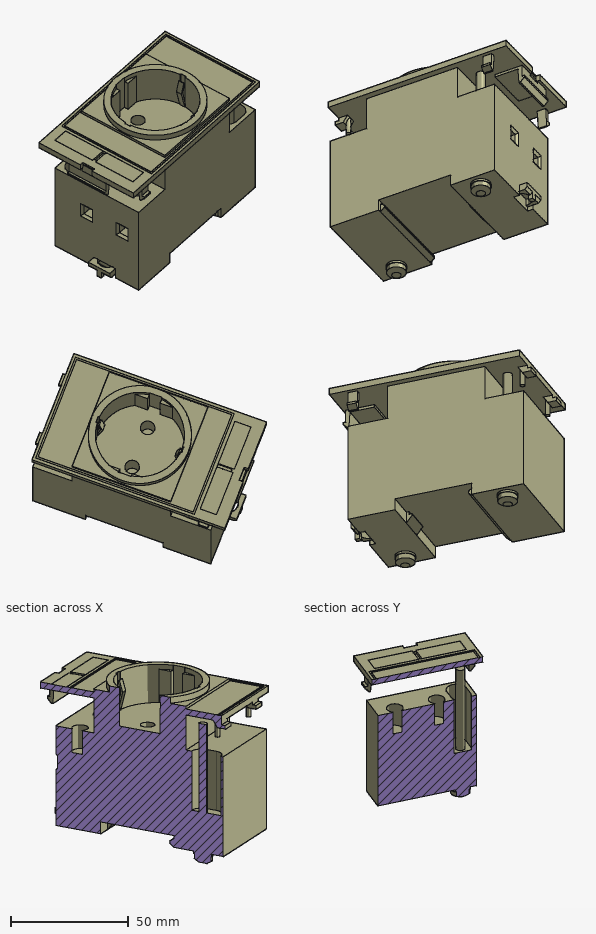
import cadquery as cq


EPS = 0.45

body_width = 44.95
body_front = -40.5
body_rear = 40.1
shoulder_z = 45.2
tower_length = 44.7

plate_width = 50.7
plate_front = -47.9
plate_rear = 39.4
plate_bottom = 60.8
plate_top = 63.7

plinth_top = 65.0
rim_top = 67.7
rim_radius = 21.9
cup_radius = 18.9
cup_floor = 50.5

contact_width = 2.7
contact_back = 19.4

rail_front = -18.9
rail_rear = 16.3
rail_depth = 5.3
latch_left = -1.5
latch_right = 10.0
latch_middle = (latch_left + latch_right) / 2
pocket_back = body_front + 2.7

screw_x = 16.2
screw_y = 30.2
rod_radius = 2.0
rod_top = 58.4
washer_radius = 4.45


def block(x0, x1, y0, y1, z0, z1):
    """Axis-aligned box given by its limits."""
    return cq.Workplane("XY").box(x1 - x0, y1 - y0, z1 - z0, centered=False).translate((x0, y0, z0))


def wide_block(width, y0, y1, z0, z1):
    """Box centred on the X = 0 plane."""
    return block(-width / 2, width / 2, y0, y1, z0, z1)


def cylinder(x, y, radius, z0, z1):
    """Upright cylinder between two heights."""
    return cq.Workplane("XY", origin=(x, y, z0)).circle(radius).extrude(z1 - z0)


def prism(points, x0, x1):
    """Extrude an outline of (y, z) points along X."""
    return cq.Workplane("YZ", origin=(x0, 0, 0)).polyline(points).close().extrude(x1 - x0)


def half_turn(shape):
    """Copy turned 180 degrees about the socket axis."""
    return shape.rotate((0, 0, 0), (0, 0, 1), 180)


def housing():
    half_tower = tower_length / 2
    base = wide_block(body_width, body_front, body_rear, 0, shoulder_z)
    tower = wide_block(body_width, -half_tower, half_tower, shoulder_z - EPS, plinth_top)
    rail_slot = wide_block(body_width, rail_front, rail_rear, 0, rail_depth)
    return base.union(tower).cut(rail_slot)


def rail_tooth():
    """Fixed ridge on the rear wall of the rail slot."""
    width = 42.2
    nose_y = 14.2
    outline = [(rail_rear + EPS, 0), (rail_rear, 0), (nose_y, 1.7), (nose_y, 2.7),
               (rail_rear, 4.2), (rail_rear + EPS, 4.2)]
    return prism(outline, -width / 2, width / 2)


def latch_pocket():
    """Recess in the housing front under the latch."""
    return block(latch_left, latch_right, body_front, pocket_back, 0, rail_depth)


def latch():
    """Rail latch: hook in the rail slot and pull tab at the housing front."""
    tab_front = -44.3
    tab_root = pocket_back + EPS
    tab_bottom = 2.1
    chamfer = 1.2
    tab = prism([(tab_root, rail_depth), (tab_front, rail_depth), (tab_front, tab_bottom + chamfer),
                 (tab_front + chamfer, tab_bottom), (tab_root, tab_bottom)], latch_left, latch_right)

    thumb_radius = 4.45
    thumb_reach = 2.2
    thumb = cylinder(latch_middle, body_front - thumb_reach + thumb_radius, thumb_radius, 0, rail_depth)
    tab = tab.cut(thumb)

    leg_width = 2.3
    leg_thickness = 2.05
    leg = block(latch_middle - leg_width / 2, latch_middle + leg_width / 2,
                tab_front, tab_front + leg_thickness, 0, tab_bottom + chamfer)

    nose_y, nose_z = -16.0, 3.6
    neck_y = -17.6
    ledge_z = 4.0
    hook = prism([(rail_front - EPS, 0), (rail_front, 0), (nose_y, nose_z),
                  (nose_y - 0.2, ledge_z), (neck_y, ledge_z), (neck_y, rail_depth),
                  (rail_front - EPS, rail_depth)],
                 latch_left, latch_right)
    return tab.union(leg).union(hook)


def wire_window(x):
    """Tapered wire entry in the housing front."""
    middle_z = 28.8
    outer_width, outer_height = 6.5, 7.1
    inner_width, inner_height = 4.45, 5.0
    funnel_depth = 1.1
    depth = 7.1
    face = cq.Workplane("XZ", origin=(x, body_front, middle_z))
    funnel = (face.rect(outer_width, outer_height).workplane(offset=-funnel_depth)
              .rect(inner_width, inner_height).loft(ruled=True))
    duct = block(x - inner_width / 2, x + inner_width / 2, body_front + EPS, body_front + depth,
                 middle_z - inner_height / 2, middle_z + inner_height / 2)
    return funnel.union(duct)


def terminal_hole(x):
    """Screwdriver access from the shoulder down towards a wire entry."""
    radius = 3.5
    depth = 10.7
    return cylinder(x, -screw_y, radius, shoulder_z - depth, shoulder_z)


def screw_well():
    """Slot-shaped well around the front fixing screw."""
    stretch = 4.8
    middle_y = -31.95
    depth = 26.7
    length = stretch + 2 * washer_radius
    return (cq.Workplane("XY", origin=(-screw_x, middle_y, shoulder_z - depth))
            .slot2D(length, 2 * washer_radius, 90).extrude(depth))


def screw():
    """Front fixing screw, revolved about its own axis: foot below, rod above."""
    washer_bottom = -1.0
    head_radius = 4.2
    head_bottom = -3.2
    tip_bottom = -4.5
    outline = [(0, tip_bottom), (rod_radius, tip_bottom), (head_radius, head_bottom),
               (head_radius, washer_bottom), (washer_radius, washer_bottom), (washer_radius, EPS),
               (rod_radius, EPS), (rod_radius, rod_top), (0, rod_top)]
    return (cq.Workplane("XZ").polyline(outline).close()
            .revolve(360, (0, 0, 0), (0, 1, 0)).translate((-screw_x, -screw_y, 0)))


def plate():
    return wide_block(plate_width, plate_front, plate_rear, plate_bottom, plate_top)


def frame_groove():
    """Fine rectangular groove around the socket field of the plate."""
    outer_width, outer_front, outer_rear = 48.1, -33.6, 38.2
    line = 0.8
    depth = 0.2
    floor = plate_top - depth
    outer = wide_block(outer_width, outer_front, outer_rear, floor, plate_top)
    inner = wide_block(outer_width - 2 * line, outer_front + line, outer_rear - line, floor, plate_top)
    return outer.cut(inner)


def label_recesses():
    """Two shallow label fields with a deeper pry slot between them."""
    half_span = 20.9
    half_gap = 0.8
    front, rear = -42.45, -35.15
    label_depth = 0.1
    slot_front = -41.5
    slot_depth = 1.3
    slot = block(-half_gap, half_gap, slot_front, rear, plate_top - slot_depth, plate_top)
    right = block(half_gap, half_span, front, rear, plate_top - label_depth, plate_top)
    return slot.union(right).union(right.mirror("YZ"))


def front_notch():
    """Screwdriver notch in the front edge, with a sloped bottom that undercuts the wall."""
    width = 6.1
    wall_y = -46.1
    ramp_front = -46.8
    ramp_bottom = 59.5
    outline = [(plate_front, plate_top), (wall_y, plate_top), (wall_y, 62.8), (wall_y + 0.3, 62.1),
               (ramp_front, ramp_bottom), (plate_front, ramp_bottom)]
    return prism(outline, -width / 2, width / 2)


def clip(inner_top, inner_bottom, outer, hook):
    """Outline of a downward snap clip; offsets grow away from the plate middle."""
    ledge_z = 55.2
    lip_z = 54.2
    tip_z = 52.2
    tip = inner_bottom + 0.7
    return [(inner_top, plate_bottom + EPS), (outer, plate_bottom + EPS), (outer, ledge_z),
            (hook, ledge_z), (hook, lip_z), (tip, tip_z), (inner_bottom, tip_z)]


def front_clip():
    """Wide clip below the front edge with the strip that carries it."""
    width = 19.9
    outer = -46.8
    strip_rear = -33.5
    strip_bottom = 59.5
    tongue = clip(inner_top=44.6, inner_bottom=45.2, outer=-outer, hook=-plate_front)
    tongue = prism([(-offset, z) for offset, z in tongue], -width / 2, width / 2)
    return tongue.union(wide_block(width, outer, strip_rear, strip_bottom, plate_bottom + EPS))


def side_clip():
    """Narrow clip below the left edge."""
    front, rear = -39.9, -35.7
    profile = clip(inner_top=21.6, inner_bottom=22.5, outer=23.7, hook=25.0)
    outline = [(-offset, z) for offset, z in profile]
    return cq.Workplane("XZ", origin=(0, rear, 0)).polyline(outline).close().extrude(rear - front)


def rear_tab():
    """Left tab that hooks behind the mounting cutout, with its locating pin."""
    left, right = -16.55, -11.4
    reach = 41.1
    tab_top, tab_bottom = 59.5, 57.8
    gusset_end, gusset_start = 35.1, 37.1
    tab = prism([(gusset_end, plate_bottom + EPS), (plate_rear, plate_bottom + EPS),
                 (plate_rear, tab_top), (reach, tab_top), (reach, tab_bottom),
                 (gusset_start, tab_bottom), (gusset_end, plate_bottom)], left, right)
    pin_bottom = 52.95
    pin_radius = (gusset_start - gusset_end) / 2
    pin_y = (gusset_start + gusset_end) / 2
    pin = cylinder((left + right) / 2, pin_y, pin_radius, pin_bottom, plate_bottom + EPS)
    return tab.union(pin)


def socket_rim():
    return cylinder(0, 0, rim_radius, plinth_top - EPS, rim_top)


def socket_cup():
    """Round plug cavity with keyed sides, earth-contact slots and pin holes."""
    cup = cylinder(0, 0, cup_radius, cup_floor, rim_top)

    rib_face = 16.8
    rib_top = 65.5
    key_width = 5.6
    between = wide_block(2 * rib_face, -cup_radius, cup_radius, cup_floor, rim_top)
    above = cylinder(0, 0, cup_radius, rib_top, rim_top)
    keyway = wide_block(2 * cup_radius, -key_width / 2, key_width / 2, cup_floor, rim_top)
    cup = cup.intersect(between).union(above).union(keyway)

    earth_slot = wide_block(contact_width, -contact_back, contact_back, cup_floor, rim_top)
    cup = cup.union(earth_slot)

    pin_spacing = 18.7
    pin_radius = 3.0
    pin_depth = 10.7
    for side in (-1, 1):
        pin_x = side * pin_spacing / 2
        cup = cup.union(cylinder(pin_x, 0, pin_radius, cup_floor - pin_depth, cup_floor + EPS))
    return cup


def earth_contact():
    """Bent rear earth contact: a springy strip bulging into the cup."""
    root_z = cup_floor - EPS
    bend_z = 59.6
    outline = [(contact_back, root_z), (18.7, root_z), (16.3, bend_z),
               (17.9, 64.8), (18.5, 64.35), (17.3, bend_z)]
    return prism(outline, -contact_width / 2, contact_width / 2)


window_positions = (-5.4, 13.6)

result = housing().union(rail_tooth()).cut(latch_pocket()).union(latch())
for window_x in window_positions:
    result = result.cut(wire_window(window_x)).cut(terminal_hole(window_x))

result = result.cut(screw_well()).cut(half_turn(screw_well()))
result = result.union(screw()).union(half_turn(screw()))

result = result.union(plate()).union(front_clip())
for feature in (side_clip(), rear_tab()):
    result = result.union(feature).union(feature.mirror("YZ"))
result = result.cut(frame_groove()).cut(label_recesses()).cut(front_notch())

result = result.union(socket_rim()).cut(socket_cup())
result = result.union(earth_contact()).union(half_turn(earth_contact()))